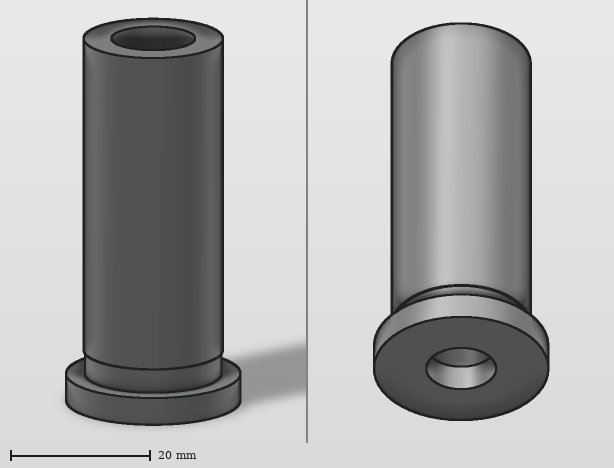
import cadquery as cq
import math

total_height = 54.0
flange_diameter = 25.0
flange_height = 4.0
body_diameter = 20.0
relief_diameter = 19.6
relief_height = 3.5

bore_diameter = 12.0
narrow_bore_diameter = 10.0
cone_bottom = flange_height
cone_angle = 120
cone_height = (bore_diameter - narrow_bore_diameter) / 2 / math.tan(math.radians(cone_angle / 2))


def turned_outer_body():
    """Flange, slightly undercut relief and main barrel, turned about Z."""
    relief_top = flange_height + relief_height
    profile = [
        (0, 0),
        (flange_diameter / 2, 0),
        (flange_diameter / 2, flange_height),
        (relief_diameter / 2, flange_height),
        (relief_diameter / 2, relief_top),
        (body_diameter / 2, relief_top),
        (body_diameter / 2, total_height),
        (0, total_height),
    ]
    return cq.Workplane("XZ").polyline(profile).close().revolve(360, (0, 0, 0), (0, 1, 0))


def bore():
    """Volume removed by the narrow bore, the cone and the wide bore."""
    cone_top = cone_bottom + cone_height
    profile = [
        (0, 0),
        (narrow_bore_diameter / 2, 0),
        (narrow_bore_diameter / 2, cone_bottom),
        (bore_diameter / 2, cone_top),
        (bore_diameter / 2, total_height),
        (0, total_height),
    ]
    return cq.Workplane("XZ").polyline(profile).close().revolve(360, (0, 0, 0), (0, 1, 0))


result = turned_outer_body().cut(bore())